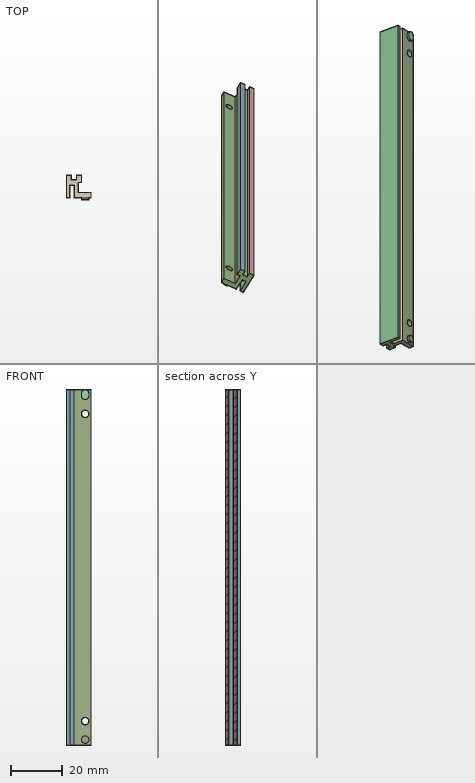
import cadquery as cq

length = 139.0
width = 9.7
total_depth = 9.7
pad_height = 0.8
front_y = pad_height
back_y = total_depth

head_width = 6.0
head_depth = 2.9
groove_width = 2.0
groove_depth = 1.8

wall_thickness = 1.4
slot_width = 1.7
slot_floor_distance = 4.0
slot_end_y = back_y - slot_floor_distance
leg_right = 4.7

foot_thickness = 2.1
pad_root_y = front_y + foot_thickness / 2
feature_x = 7.4
hole_diameter = 2.8
hole_end_distance = 9.5
pad_diameter = 2.9
pad_end_distance = 2.2
top_pad_straight = 1.0


def box(x_min, x_max, y_min, y_max, z_min=0.0, z_max=length):
    """Box given by its limits along each axis."""
    size = (x_max - x_min, y_max - y_min, z_max - z_min)
    return cq.Workplane("XY").box(*size, centered=False).translate((x_min, y_min, z_min))


def cylinder_along_y(diameter, z, y_min, y_max):
    """Cylinder on the foot's centre line of features, running along Y."""
    plane = cq.Workplane("XZ", origin=(feature_x, y_min, z))
    return plane.circle(diameter / 2).extrude(y_min - y_max)


def make_rail():
    head = box(0, head_width, back_y - head_depth, back_y)
    web = box(0, leg_right, front_y, back_y)
    foot = box(0, width, front_y, front_y + foot_thickness)
    groove_left = (head_width - groove_width) / 2
    groove = box(groove_left, groove_left + groove_width, back_y - groove_depth, back_y)
    slot = box(wall_thickness, wall_thickness + slot_width, front_y, slot_end_y)
    return head.union(web).union(foot).cut(groove).cut(slot)


def make_pad(z):
    return cylinder_along_y(pad_diameter, z, 0, pad_root_y)


result = make_rail()

for hole_z in (hole_end_distance, length - hole_end_distance):
    result = result.cut(cylinder_along_y(hole_diameter, hole_z, 0, front_y + foot_thickness))

upper_arc_z = length - pad_diameter / 2
lower_arc_z = upper_arc_z - top_pad_straight
result = result.union(make_pad(pad_end_distance))
result = result.union(make_pad(upper_arc_z)).union(make_pad(lower_arc_z))
pad_middle = box(
    feature_x - pad_diameter / 2, feature_x + pad_diameter / 2,
    0, pad_root_y,
    lower_arc_z, upper_arc_z,
)
result = result.union(pad_middle)